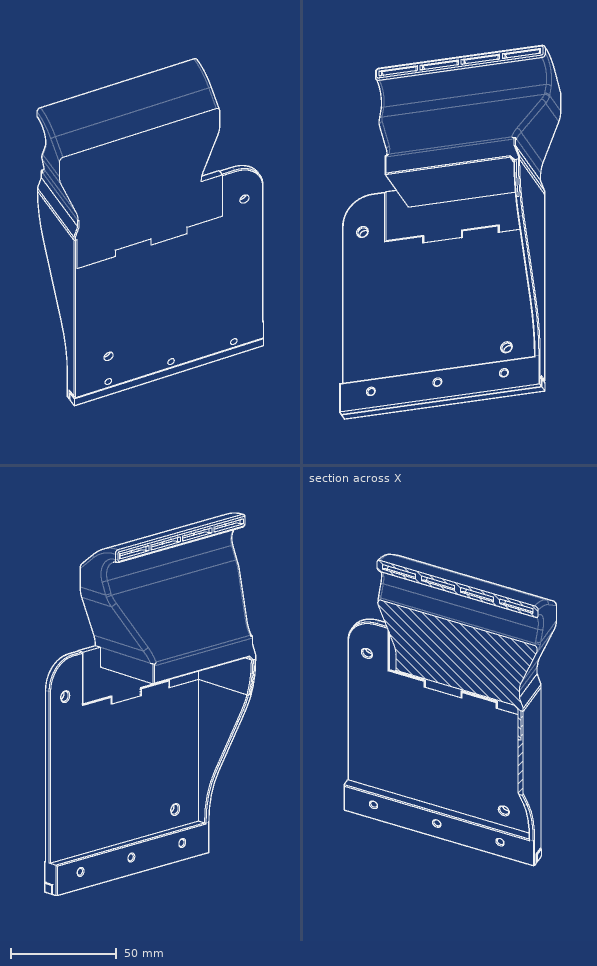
import cadquery as cq
import math

EDGE_CHAMFER = 0.5
NEAR = 0.02

BRACKET_WIDTH = 99.5
PLATE_THICKNESS = 3.5
PLATE_TOP = 115.0
PLATE_CORNER_RADIUS = 15.0
WALL_THICKNESS = 2.9
WALL_DEPTH = 40.5
WALL_TOP = 103.3
WALL_BEND_RADIUS = 56.1
FLANGE_DEPTH = 8.2
FLANGE_HEIGHT = 15.1

FLANGE_HOLE_DIAMETER = 3.4
FLANGE_HOLE_Z = 8.5
FLANGE_HOLE_MIDDLE_Y = 50.8
FLANGE_HOLE_SPACING = 33.0
PLATE_HOLE_DIAMETER = 4.8
PLATE_HOLE_CENTERS = [(18.0, 24.1), (89.4, 95.5)]

BAR_DEPTH = 4.8
BAR_HEIGHT = 4.5
BAR_CLEARANCE = 0.5

FOOT_SIDE = 77.9
FOOT_BOTTOM = 89.2
TAB_BOTTOM = 85.3
FOOT_STEPS = 4
ARM_OUTSIDE_Y = 1.5

BLOCK_BOTTOM = 105.2
BLOCK_NEAR_Y = 2.0
BLOCK_FAR_Y = 66.6
BEVEL_TOP = 111.0

HEAD_TOP = 170.0
HEAD_WIDTH = 84.3
HEAD_MIDDLE_Y = (BLOCK_NEAR_Y + BLOCK_FAR_Y) / 2
HEAD_NEAR_Y = HEAD_MIDDLE_Y - HEAD_WIDTH / 2
HEAD_FAR_Y = HEAD_MIDDLE_Y + HEAD_WIDTH / 2
FLARE_BEND_RADIUS = 15.0
HEAD_EDGE_RADIUS = 1.9
BROW_RADIUS = 2.7
CROWN_RADIUS = 25.2
CROWN_ANGLE = math.radians(39)
TIP_X = -25.2
TIP_CHAMFER = 0.8
THROAT_RADIUS = 7.6
THROAT_X = -24.0
THROAT_Z = 155.9
THROAT_END_ANGLE = math.radians(-23)
LIP_LENGTH = 7.1

SLOT_COUNT = 4
SLOT_WIDTH = 19.0
SLOT_PITCH = 20.4
SLOT_INNER_RADIUS = 9.7
SLOT_OUTER_RADIUS = 12.0
SLOT_START_ANGLE = math.radians(100)
SLOT_END_ANGLE = math.radians(30)
SLOT_SPLAY = 1.0


def box(x_range, y_range, z_range):
    """Axis-aligned box given by its limits."""
    size = [high - low for low, high in (x_range, y_range, z_range)]
    return cq.Workplane("XY").box(*size, centered=False).translate((x_range[0], y_range[0], z_range[0]))


def side_sketch(y):
    """Workplane for an outline in X and Z, placed at the given y."""
    return cq.Workplane("XZ", origin=(0, y, 0))


def polar(center, radius, angle):
    """Point at an angle on a circle."""
    return (center[0] + radius * math.cos(angle), center[1] + radius * math.sin(angle))


def add_s_curve(sketch, start, end, radius):
    """Continue an outline from start to end with two equal arcs, vertical at both ends, and their tangent."""
    run = abs(end[0] - start[0])
    rise = abs(end[1] - start[1])
    sideways = math.copysign(1, end[0] - start[0])
    upward = math.copysign(1, end[1] - start[1])
    tangent_length = math.sqrt(run**2 + rise**2 - 4 * radius * run)
    slope = math.atan2(2 * radius, tangent_length) - math.atan2(2 * radius - run, rise)

    def offset(angle):
        return sideways * radius * (1 - math.cos(angle)), upward * radius * math.sin(angle)

    def after_start(angle):
        return start[0] + offset(angle)[0], start[1] + offset(angle)[1]

    def before_end(angle):
        return end[0] - offset(angle)[0], end[1] - offset(angle)[1]

    return (
        sketch.threePointArc(after_start(slope / 2), after_start(slope))
        .lineTo(*before_end(slope))
        .threePointArc(before_end(slope / 2), end)
    )


def wall_profile(y_start, y_end):
    """Side wall between two y positions; its front edge is an S-curve."""
    top = (-WALL_DEPTH, WALL_TOP)
    bottom = (-FLANGE_DEPTH, FLANGE_HEIGHT)
    sketch = side_sketch(y_start).moveTo(0, 0).lineTo(0, WALL_TOP).lineTo(*top)
    sketch = add_s_curve(sketch, top, bottom, WALL_BEND_RADIUS)
    return sketch.lineTo(-FLANGE_DEPTH, 0).close().extrude(y_start - y_end)


def make_bar_space():
    """Rebate for the bar, with a little room above and in front of it."""
    return box((-BAR_DEPTH - BAR_CLEARANCE, 0), (0, BRACKET_WIDTH), (0, BAR_HEIGHT + BAR_CLEARANCE))


def make_wall():
    """Side wall with the bar rebate; its outside edges and its inner front edge are chamfered."""
    wall = wall_profile(0, WALL_THICKNESS).cut(make_bar_space())
    wall = wall.faces("<Y").edges("not (<Z or >Z)").chamfer(EDGE_CHAMFER)
    inner_front = cq.selectors.BoxSelector(
        (-WALL_DEPTH, WALL_THICKNESS - NEAR, FLANGE_HEIGHT),
        (-FLANGE_DEPTH, WALL_THICKNESS + NEAR, WALL_TOP - NEAR),
    )
    return wall.edges(inner_front).chamfer(EDGE_CHAMFER)


def make_foot(wall):
    """Stepped foot in the back plate, with an arm that lines the inside of the side wall."""
    foot = box((-PLATE_THICKNESS, 0), (WALL_THICKNESS, FOOT_SIDE), (FOOT_BOTTOM, PLATE_TOP))
    step = (FOOT_SIDE - WALL_THICKNESS) / FOOT_STEPS
    for index in range(0, FOOT_STEPS, 2):
        start = WALL_THICKNESS + index * step
        foot = foot.union(box((-PLATE_THICKNESS, 0), (start, start + step), (TAB_BOTTOM, FOOT_BOTTOM)))
    arm_zone = box((-WALL_DEPTH, 0), (ARM_OUTSIDE_Y, WALL_THICKNESS), (TAB_BOTTOM, WALL_TOP))
    return foot.union(wall.intersect(arm_zone))


def make_plate(foot):
    """Back plate with one round corner, open where the foot fits in; its front and far edges are chamfered."""
    plate = box((-PLATE_THICKNESS, 0), (WALL_THICKNESS, BRACKET_WIDTH), (0, PLATE_TOP))
    plate = plate.edges(">Y and >Z").fillet(PLATE_CORNER_RADIUS)
    plate = plate.cut(foot)
    plate = plate.faces(">Y").edges(">X").chamfer(EDGE_CHAMFER)
    above_tabs = cq.selectors.BoxSelector(
        (-PLATE_THICKNESS - NEAR, 0, TAB_BOTTOM + NEAR),
        (-PLATE_THICKNESS + NEAR, BRACKET_WIDTH + NEAR, PLATE_TOP + NEAR),
    )
    return plate.faces("<X").edges(above_tabs).chamfer(EDGE_CHAMFER)


def make_flange():
    """Thick strip along the bottom; it starts inside the wall, behind the wall's outer chamfer."""
    flange = box((-FLANGE_DEPTH, 0), (EDGE_CHAMFER, BRACKET_WIDTH), (0, FLANGE_HEIGHT))
    return flange.faces("<X").edges(">Y or >Z").chamfer(EDGE_CHAMFER)


def make_drill(y, z, diameter, face_depth):
    """Cutter for a hole along X through to the back, with a chamfered rim on the face it enters."""
    entry = cq.Workplane("YZ", origin=(-face_depth, y, z))
    rim = cq.Solid.makeCone(
        diameter / 2 + EDGE_CHAMFER,
        diameter / 2,
        EDGE_CHAMFER,
        pnt=cq.Vector(-face_depth, y, z),
        dir=cq.Vector(1, 0, 0),
    )
    return entry.circle(diameter / 2).extrude(face_depth).union(cq.Workplane(rim))


def make_bracket(wall, foot):
    """Bracket as one solid: wall, plate and flange, without the spaces for the foot, the bar and the holes."""
    body = wall.cut(foot).union(make_plate(foot)).union(make_flange())
    body = body.cut(make_bar_space())
    for index in (-1, 0, 1):
        y = FLANGE_HOLE_MIDDLE_Y + index * FLANGE_HOLE_SPACING
        body = body.cut(make_drill(y, FLANGE_HOLE_Z, FLANGE_HOLE_DIAMETER, FLANGE_DEPTH))
    for y, z in PLATE_HOLE_CENTERS:
        body = body.cut(make_drill(y, z, PLATE_HOLE_DIAMETER, PLATE_THICKNESS))
    return body


def throat_end():
    """Lower end of the throat arc."""
    return polar((THROAT_X, THROAT_Z), THROAT_RADIUS, THROAT_END_ANGLE)


def lip_point():
    """Lower end of the short straight that runs on from the throat."""
    return polar(throat_end(), LIP_LENGTH, THROAT_END_ANGLE - math.pi / 2)


def make_head_profile():
    """Head seen from the side: crown, blunt tip, round throat and long slope, as wide as the whole head."""
    throat_center = (THROAT_X, THROAT_Z)
    throat_middle = (math.pi / 2 + THROAT_END_ANGLE) / 2
    crown_center = (THROAT_X, HEAD_TOP - CROWN_RADIUS)
    crown_middle = (math.pi - CROWN_ANGLE) / 2
    crown_end = polar(crown_center, CROWN_RADIUS, math.pi / 2 - CROWN_ANGLE)
    crown_start = polar(crown_center, CROWN_RADIUS, math.acos((TIP_X - THROAT_X) / CROWN_RADIUS))
    back_edge_z = crown_end[1] + crown_end[0] * math.tan(CROWN_ANGLE)
    return (
        side_sketch(HEAD_NEAR_Y)
        .moveTo(0, PLATE_TOP)
        .lineTo(0, back_edge_z)
        .lineTo(*crown_end)
        .threePointArc(polar(crown_center, CROWN_RADIUS, crown_middle), crown_start)
        .lineTo(TIP_X, THROAT_Z + THROAT_RADIUS)
        .lineTo(THROAT_X, THROAT_Z + THROAT_RADIUS)
        .threePointArc(polar(throat_center, THROAT_RADIUS, throat_middle), throat_end())
        .lineTo(*lip_point())
        .lineTo(-WALL_DEPTH, PLATE_TOP)
        .close()
        .extrude(-HEAD_WIDTH)
    )


def make_head_outline():
    """Head seen from the front: it flares from the width of the block to its full width."""
    flare_top = lip_point()[1]
    sketch = cq.Workplane("YZ", origin=(-WALL_DEPTH, 0, 0)).moveTo(BLOCK_NEAR_Y, PLATE_TOP)
    sketch = add_s_curve(sketch, (BLOCK_NEAR_Y, PLATE_TOP), (HEAD_NEAR_Y, flare_top), FLARE_BEND_RADIUS)
    sketch = sketch.lineTo(HEAD_NEAR_Y, HEAD_TOP).lineTo(HEAD_FAR_Y, HEAD_TOP).lineTo(HEAD_FAR_Y, flare_top)
    sketch = add_s_curve(sketch, (HEAD_FAR_Y, flare_top), (BLOCK_FAR_Y, PLATE_TOP), FLARE_BEND_RADIUS)
    return sketch.close().extrude(WALL_DEPTH)


def is_head_rim(edge):
    """True on the crown, throat and slope edges: those off the back, the tip, the underside and the flanks."""
    center = edge.Center()
    on_back = center.x > -NEAR
    on_tip = center.x < TIP_X + NEAR and center.z > THROAT_Z
    on_underside = center.z < PLATE_TOP + NEAR
    across_flank = edge.geomType() == "LINE" and abs(edge.tangentAt(0).x) > 1.7 - NEAR
    return not (on_back or on_tip or on_underside or across_flank)


def make_head():
    """Hook head with rounded side edges and a chamfered tip."""
    head = make_head_profile().intersect(make_head_outline())
    rim = [edge for edge in head.edges("not |Y").vals() if is_head_rim(edge)]
    head = head.newObject(rim).fillet(HEAD_EDGE_RADIUS)
    tip = cq.selectors.BoxSelector(
        (TIP_X - NEAR, HEAD_NEAR_Y, THROAT_Z),
        (TIP_X + NEAR, HEAD_FAR_Y, HEAD_TOP),
    )
    return head.faces(tip).edges().chamfer(TIP_CHAMFER)


def make_tip_slot(y):
    """Cutter for one slot centred on y: a curved channel whose ends splay out at the mouth."""
    center = (THROAT_X, THROAT_Z)
    middle = (SLOT_START_ANGLE + SLOT_END_ANGLE) / 2
    channel = (
        side_sketch(y - SLOT_WIDTH / 2 + SLOT_SPLAY)
        .moveTo(*polar(center, SLOT_OUTER_RADIUS, SLOT_START_ANGLE))
        .threePointArc(
            polar(center, SLOT_OUTER_RADIUS, middle),
            polar(center, SLOT_OUTER_RADIUS, SLOT_END_ANGLE),
        )
        .lineTo(*polar(center, SLOT_INNER_RADIUS, SLOT_END_ANGLE))
        .threePointArc(
            polar(center, SLOT_INNER_RADIUS, middle),
            polar(center, SLOT_INNER_RADIUS, SLOT_START_ANGLE),
        )
        .close()
        .extrude(2 * SLOT_SPLAY - SLOT_WIDTH)
    )
    mouth = (
        cq.Workplane("XY", origin=(TIP_X, y, THROAT_Z + SLOT_INNER_RADIUS))
        .polyline([
            (0, -SLOT_WIDTH / 2),
            (0, SLOT_WIDTH / 2),
            (SLOT_SPLAY, SLOT_WIDTH / 2 - SLOT_SPLAY),
            (SLOT_SPLAY, SLOT_SPLAY - SLOT_WIDTH / 2),
        ])
        .close()
        .extrude(SLOT_OUTER_RADIUS - SLOT_INNER_RADIUS)
    )
    return channel.union(mouth)


def is_block_rim(edge):
    """True on the upright and lower front edges and on the back edges of the near side."""
    center = edge.Center()
    between_ends = WALL_TOP + NEAR < center.z < PLATE_TOP - NEAR
    on_front = center.x < -NEAR
    on_near_side = center.y < BLOCK_NEAR_Y + NEAR
    return between_ends and (on_front or on_near_side)


def make_block():
    """Block under the head; bevelled out to the wall on the near side, with a sloped inside corner."""
    corner = BLOCK_BOTTOM - WALL_TOP
    block = (
        cq.Workplane("YZ", origin=(-WALL_DEPTH, 0, 0))
        .polyline([
            (BLOCK_FAR_Y, BLOCK_BOTTOM),
            (BLOCK_FAR_Y, PLATE_TOP),
            (BLOCK_NEAR_Y, PLATE_TOP),
            (BLOCK_NEAR_Y, BEVEL_TOP),
            (0, BLOCK_BOTTOM),
            (0, WALL_TOP),
            (WALL_THICKNESS, WALL_TOP),
            (WALL_THICKNESS + corner, BLOCK_BOTTOM),
        ])
        .close()
        .extrude(WALL_DEPTH)
    )
    rim = [edge for edge in block.faces("<X or >X").edges().vals() if is_block_rim(edge)]
    return block.newObject(rim).chamfer(EDGE_CHAMFER)


def make_brow_cutter():
    """Cutter that rounds the edge where the long slope of the head meets the front of the block."""
    lip = lip_point()
    lean = math.atan2(lip[0] + WALL_DEPTH, lip[1] - PLATE_TOP)
    setback = BROW_RADIUS * math.tan(lean / 2)
    center = (BROW_RADIUS - WALL_DEPTH, PLATE_TOP - setback)
    upper = polar(center, BROW_RADIUS, math.pi - lean)
    return (
        side_sketch(0)
        .moveTo(-WALL_DEPTH, center[1])
        .threePointArc(polar(center, BROW_RADIUS, math.pi - lean / 2), upper)
        .lineTo(-WALL_DEPTH - BROW_RADIUS, upper[1])
        .lineTo(-WALL_DEPTH - BROW_RADIUS, center[1])
        .close()
        .extrude(-HEAD_WIDTH)
    )


def make_hook(foot):
    """Hook as one solid: head, block and foot, with the row of slots in its tip."""
    hook = make_head().union(make_block()).union(foot).cut(make_brow_cutter())
    for index in range(SLOT_COUNT):
        slot_y = HEAD_MIDDLE_Y + (index - (SLOT_COUNT - 1) / 2) * SLOT_PITCH
        hook = hook.cut(make_tip_slot(slot_y))
    return hook


wall = make_wall()
foot = make_foot(wall)
bracket = make_bracket(wall, foot)
hook = make_hook(foot)
bar = box((-BAR_DEPTH, 0), (0, BRACKET_WIDTH), (0, BAR_HEIGHT))

result = cq.Compound.makeCompound([bracket.val(), hook.val(), bar.val()])